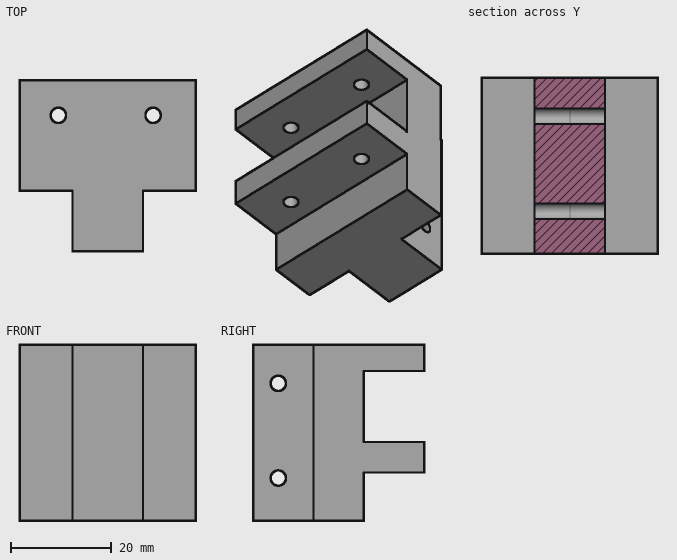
import cadquery as cq

width = 35.0
depth = 34.0
height = 35.0

stem_width = 14.0
stem_depth = 12.0

shelf_reach = 12.0
top_shelf_thickness = 5.3
slot_height = 14.0
lower_shelf_thickness = 6.1

hole_diameter = 3.0
hole_spacing = 18.8
shelf_hole_from_back = 7.0
shelf_hole_offset = -0.4
stem_hole_from_front = 5.0
stem_hole_mid_height = 17.9

column_back = depth - shelf_reach
slot_top = height - top_shelf_thickness
lower_shelf_top = slot_top - slot_height
lower_shelf_bottom = lower_shelf_top - lower_shelf_thickness


def block(size_x, y_start, y_end, z_start, z_end):
    """Box centred on X between the given Y and Z limits."""
    box = cq.Workplane("XY").box(
        size_x, y_end - y_start, z_end - z_start, centered=(True, False, False)
    )
    return box.translate((0, y_start, z_start))


def make_column():
    stem = block(stem_width, 0, stem_depth, 0, height)
    crossbar = block(width, stem_depth, column_back, 0, height)
    return stem.union(crossbar)


def make_shelves():
    top_shelf = block(width, column_back, depth, slot_top, height)
    lower_shelf = block(width, column_back, depth, lower_shelf_bottom, lower_shelf_top)
    return top_shelf.union(lower_shelf)


def make_shelf_holes():
    """Vertical holes through both shelves."""
    return (
        cq.Workplane("XY")
        .center(shelf_hole_offset, depth - shelf_hole_from_back)
        .rarray(hole_spacing, 1, 2, 1)
        .circle(hole_diameter / 2)
        .extrude(height)
    )


def make_stem_holes():
    """Holes through the stem along X."""
    return (
        cq.Workplane("YZ")
        .center(stem_hole_from_front, stem_hole_mid_height)
        .rarray(1, hole_spacing, 1, 2)
        .circle(hole_diameter / 2)
        .extrude(stem_width / 2, both=True)
    )


body = make_column().union(make_shelves())
result = body.cut(make_shelf_holes()).cut(make_stem_holes())